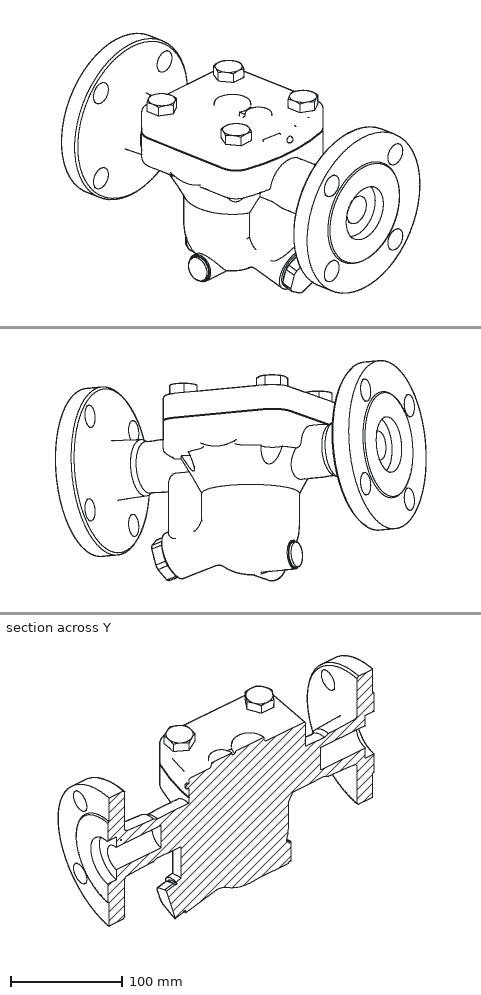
import cadquery as cq
import math

BODY_X = -10.0

FACE_X = 150.0
RAISED_FACE_D = 96.0
RAISED_FACE_H = 1.5
RAISED_FACE_CHAMFER = 1.1
FLANGE_D = 152.0
FLANGE_BACK_X = 130.5
FLANGE_CHAMFER = 2.0
FLANGE_HOLE_D = 20.0
FLANGE_HOLE_CIRCLE_D = 121.0
FLANGE_HOLE_COUNT = 4
FLANGE_HOLE_ANGLE = 45.0
NECK_FILLET = 3.0
NECK_BASE_D = 54.0
NECK_END_D = 51.0
NECK_END_X = 98.5
PIPE_D = 47.5
WELD_D = 46.5
WELD_OUTER_X = 94.0
WELD_INNER_X = 89.0
PIPE_START_X = 81.0
SOCKET_D = 50.0
SOCKET_DEPTH = 9.8
BORE_D = 26.0
BORE_DEPTH = 60.0

BOLT_OFFSET = 45.0
BLOCK_CORNER_R = 18.0
BLOCK_CORNER_END_ANGLE = 69.0
BLOCK_BULGE_X = 58.8
BLOCK_BOTTOM_Z = 0.0
BLOCK_JOINT_Z = 30.0
BLOCK_TOP_Z = 52.8
BLOCK_TOP_FILLET = 2.5
BLOCK_BOTTOM_FILLET = 4.6
JOINT_GAP = 0.8
JOINT_DEPTH = 0.3
BOLT_FLATS = 24.4
BOLT_HEAD_H = 9.5
BOLT_HEAD_CHAMFER = 1.0
BOLT_RELIEF_D = 20.0
BOLT_RELIEF_DEPTH = 30.0

DISC_TOP_Z = 58.3
LARGE_DISC_D = 33.0
SMALL_DISC_D = 24.0
SMALL_DISC_X = 21.5
DISC_FILLET = 2.8
DISC_RIM_FILLET = 1.6
BRIDGE_W = 14.0
BRIDGE_H = 2.8
PIN_R = 3.1
PIN_X = 59.0
PIN_Z = 43.7

BODY_R = 44.0
DOME_Z = -62.5
SHOULDER_Z = -32.7
FLARE_MID_R = 51.7
FLARE_MID_Z = -18.5
FLARE_TOP_R = 65.6
FLARE_TOP_Z = BLOCK_BOTTOM_Z + BLOCK_BOTTOM_FILLET

LUG_END_X = 67.5
LUG_W = 41.0
LUG_CORNER_R = 12.5
LUG_BOTTOM_Z = -75.0

STRAINER_TILT = 15.0
STRAINER_R = 22.0
STRAINER_LENGTH = 80.0
STRAINER_FILLET = 16.0
GASKET_D = 38.0
GASKET_H = 1.8
CAP_FLATS = 36.0
CAP_CORNER_D = 39.2
CAP_END = 92.0

DRAIN_DIRECTIONS = ((-1, 0, 0), (0, -1, 0))
DRAIN_Z = -92.5
DRAIN_D = 26.0
DRAIN_FILLET = 3.0
DRAIN_LENGTH = 44.5
DRAIN_CHAMFER = 0.8
DRAIN_PLUG_D = 22.6
DRAIN_PLUG_END = 46.8


def hexagon(flats, height):
    """Hexagonal prism on the XY plane with two corners on the X axis."""
    return cq.Workplane("XY").polygon(6, flats / math.cos(math.pi / 6)).extrude(height)


def pipe_end():
    """Flange, weld neck and pipe on the -X side, revolved about the pipe axis."""
    raised_r = RAISED_FACE_D / 2
    neck_r = NECK_BASE_D / 2
    face_x = -FACE_X + RAISED_FACE_H
    profile = (
        cq.Workplane("XY")
        .moveTo(-FACE_X, 0)
        .lineTo(-FACE_X, raised_r - RAISED_FACE_CHAMFER)
        .lineTo(face_x, raised_r)
        .lineTo(face_x, FLANGE_D / 2)
        .lineTo(-FLANGE_BACK_X - FLANGE_CHAMFER, FLANGE_D / 2)
        .lineTo(-FLANGE_BACK_X, FLANGE_D / 2 - FLANGE_CHAMFER)
        .lineTo(-FLANGE_BACK_X, neck_r + NECK_FILLET)
        .radiusArc((-FLANGE_BACK_X + NECK_FILLET, neck_r), -NECK_FILLET)
        .lineTo(-NECK_END_X, NECK_END_D / 2)
        .lineTo(-WELD_OUTER_X, WELD_D / 2)
        .lineTo(-WELD_INNER_X, WELD_D / 2)
        .lineTo(-PIPE_START_X, PIPE_D / 2)
        .lineTo(BODY_X, PIPE_D / 2)
        .lineTo(BODY_X, 0)
        .close()
    )
    solid = profile.revolve(360, (0, 0, 0), (1, 0, 0))
    face = cq.Workplane("YZ", origin=(-FACE_X, 0, 0))
    holes = (
        face.polarArray(FLANGE_HOLE_CIRCLE_D / 2, FLANGE_HOLE_ANGLE, 360, FLANGE_HOLE_COUNT)
        .circle(FLANGE_HOLE_D / 2)
        .extrude(FACE_X - FLANGE_BACK_X)
    )
    socket = face.circle(SOCKET_D / 2).extrude(SOCKET_DEPTH)
    bore = face.circle(BORE_D / 2).extrude(BORE_DEPTH)
    return solid.cut(holes).cut(socket).cut(bore)


def block_outline(z):
    """Closed outline: corners centred on the bolts and a shallow bulge on the +X side."""
    left = BODY_X - BOLT_OFFSET
    right = BODY_X + BOLT_OFFSET
    r = BLOCK_CORNER_R
    half_w = BOLT_OFFSET + r
    end_angle = math.radians(BLOCK_CORNER_END_ANGLE)
    bulge_start = (right + r * math.sin(end_angle), BOLT_OFFSET + r * math.cos(end_angle))
    return (
        cq.Workplane("XY", origin=(0, 0, z))
        .moveTo(left, -half_w)
        .lineTo(right, -half_w)
        .radiusArc((bulge_start[0], -bulge_start[1]), -r)
        .threePointArc((BLOCK_BULGE_X, 0), bulge_start)
        .radiusArc((right, half_w), -r)
        .lineTo(left, half_w)
        .radiusArc((left - r, BOLT_OFFSET), -r)
        .lineTo(left - r, -BOLT_OFFSET)
        .radiusArc((left, -half_w), -r)
        .close()
    )


def cover_block():
    """Cover and body flange in one block, with the narrow joint between them as a groove."""
    block = block_outline(BLOCK_BOTTOM_Z).extrude(BLOCK_TOP_Z - BLOCK_BOTTOM_Z)
    block = block.faces(">Z").edges().fillet(BLOCK_TOP_FILLET)
    block = block.faces("<Z").edges().fillet(BLOCK_BOTTOM_FILLET)
    groove_z = BLOCK_JOINT_Z - JOINT_GAP / 2
    gap = block_outline(groove_z).extrude(JOINT_GAP)
    gasket = block_outline(groove_z).offset2D(-JOINT_DEPTH).extrude(JOINT_GAP)
    return block.cut(gap.cut(gasket))


def cover_disc(x, diameter):
    """Raised disc with a filleted foot and a rounded rim."""
    r = diameter / 2
    height = DISC_TOP_Z - BLOCK_TOP_Z
    return (
        cq.Workplane("XZ", origin=(x, 0, BLOCK_TOP_Z))
        .moveTo(0, 0)
        .lineTo(r + DISC_FILLET, 0)
        .radiusArc((r, DISC_FILLET), DISC_FILLET)
        .lineTo(r, height - DISC_RIM_FILLET)
        .radiusArc((r - DISC_RIM_FILLET, height), -DISC_RIM_FILLET)
        .lineTo(0, height)
        .close()
        .revolve(360, (0, 0, 0), (0, 1, 0))
    )


def cover_discs():
    discs = cover_disc(BODY_X, LARGE_DISC_D).union(cover_disc(SMALL_DISC_X, SMALL_DISC_D))
    foot = BRIDGE_W / 2 + BRIDGE_H
    top = BRIDGE_W / 2
    bridge = (
        cq.Workplane("YZ", origin=(BODY_X, 0, BLOCK_TOP_Z))
        .moveTo(-foot, 0)
        .lineTo(foot, 0)
        .radiusArc((top, BRIDGE_H), BRIDGE_H)
        .lineTo(-top, BRIDGE_H)
        .radiusArc((-foot, 0), BRIDGE_H)
        .close()
        .extrude(SMALL_DISC_X - BODY_X)
    )
    return discs.union(bridge)


def bolt_head(side_x, side_y):
    """Bolt head with chamfered top corners; diagonally opposite heads are turned alike."""
    height = BOLT_HEAD_H
    turn = 0 if side_x == side_y else 90
    inner_r = BOLT_FLATS / 2
    trim = (
        cq.Workplane("XY")
        .circle(inner_r + 2 * BOLT_HEAD_CHAMFER)
        .extrude(height)
        .faces(">Z")
        .chamfer(BOLT_HEAD_CHAMFER, 2 * BOLT_HEAD_CHAMFER)
    )
    head = hexagon(BOLT_FLATS, height).intersect(trim).rotate((0, 0, 0), (0, 0, 1), turn)
    return head.translate((BODY_X + side_x * BOLT_OFFSET, side_y * BOLT_OFFSET, BLOCK_TOP_Z))


def drain_plane(direction):
    return cq.Plane(origin=(BODY_X, 0, DRAIN_Z), xDir=(0, 0, 1), normal=direction)


def drain_boss(direction):
    """Small horizontal boss pointing along the given direction."""
    outer_end = cq.selectors.DirectionMinMaxSelector(cq.Vector(direction))
    boss = cq.Workplane(drain_plane(direction)).circle(DRAIN_D / 2).extrude(DRAIN_LENGTH)
    return boss.faces(outer_end).chamfer(DRAIN_CHAMFER)


def drain_plug(direction):
    return cq.Workplane(drain_plane(direction)).circle(DRAIN_PLUG_D / 2).extrude(DRAIN_PLUG_END)


def body():
    """Flared neck, cylinder and dome, with drain bosses and reliefs under the bolts."""
    solid = (
        cq.Workplane("XZ", origin=(BODY_X, 0, 0))
        .moveTo(0, DOME_Z - BODY_R)
        .radiusArc((BODY_R, DOME_Z), -BODY_R)
        .lineTo(BODY_R, SHOULDER_Z)
        .lineTo(FLARE_MID_R, FLARE_MID_Z)
        .lineTo(FLARE_TOP_R, FLARE_TOP_Z)
        .lineTo(0, FLARE_TOP_Z)
        .close()
        .revolve(360, (0, 0, 0), (0, 1, 0))
    )
    solid = solid.union(drain_boss(DRAIN_DIRECTIONS[0])).edges("%BSPLINE").fillet(DRAIN_FILLET)
    solid = solid.union(drain_boss(DRAIN_DIRECTIONS[1]))
    reliefs = (
        cq.Workplane("XY", origin=(BODY_X, 0, BLOCK_BOTTOM_Z))
        .rect(2 * BOLT_OFFSET, 2 * BOLT_OFFSET, forConstruction=True)
        .vertices()
        .circle(BOLT_RELIEF_D / 2)
        .extrude(-BOLT_RELIEF_DEPTH)
    )
    footprint = block_outline(DOME_Z - BODY_R).extrude(FLARE_TOP_Z - DOME_Z + BODY_R)
    return solid.cut(reliefs).intersect(footprint)


def lug():
    """Upright lug with rounded outer corners, running up into the pipe and down into the boss."""
    length = LUG_END_X - BODY_X
    return (
        cq.Workplane("XY", origin=(BODY_X + length / 2, 0, LUG_BOTTOM_Z))
        .rect(length, LUG_W)
        .extrude(-LUG_BOTTOM_Z)
        .edges("|Z and >X")
        .fillet(LUG_CORNER_R)
    )


def strainer():
    """Inclined boss blended into the dome, closed by a hexagonal cap."""
    r = STRAINER_R
    f = STRAINER_FILLET
    blend_end = math.sqrt((BODY_R + f) ** 2 - (r + f) ** 2)
    dome_share = BODY_R / (BODY_R + f)
    boss = (
        cq.Workplane("XY")
        .moveTo(0, 0)
        .lineTo(blend_end * dome_share, 0)
        .lineTo(blend_end * dome_share, (r + f) * dome_share)
        .radiusArc((blend_end, r), -f)
        .lineTo(STRAINER_LENGTH, r)
        .lineTo(STRAINER_LENGTH, 0)
        .close()
        .revolve(360, (0, 0, 0), (1, 0, 0))
    )
    cap_start = STRAINER_LENGTH + GASKET_H
    gasket = cq.Workplane("YZ", origin=(STRAINER_LENGTH, 0, 0)).circle(GASKET_D / 2).extrude(GASKET_H)
    cap = hexagon(CAP_FLATS, CAP_END - cap_start)
    cap = cap.intersect(cq.Workplane("XY").circle(CAP_CORNER_D / 2).extrude(CAP_END))
    cap = cap.rotate((0, 0, 0), (0, 1, 0), 90).translate((cap_start, 0, 0))
    tilted = boss.union(gasket).union(cap).rotate((0, 0, 0), (0, 1, 0), STRAINER_TILT)
    return tilted.translate((BODY_X, 0, DOME_Z))


half_pipe = pipe_end()
result = body().union(half_pipe)
result = result.union(half_pipe.mirror("YZ"))
result = result.union(cover_block()).union(cover_discs())
for side_x in (-1, 1):
    for side_y in (-1, 1):
        result = result.union(bolt_head(side_x, side_y))
result = result.union(cq.Workplane("XY").sphere(PIN_R).translate((PIN_X, 0, PIN_Z)))
result = result.union(lug()).union(strainer())
for direction in DRAIN_DIRECTIONS:
    result = result.union(drain_plug(direction))